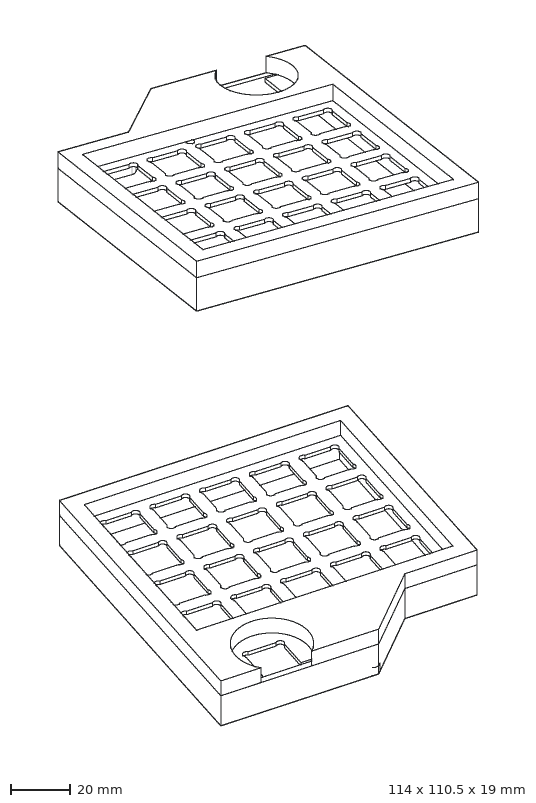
import cadquery as cq
import math

length = 114.0
width = 110.5
height = 19.0
lid_thickness = 6.3
base_height = height - lid_thickness

step_x = 22.8
step_y = 27.7
slant_y = 50.0

key_pitch = 19.0
key_columns = 4
key_rows = 5
grid_x = 68.3
grid_y = 55.2
window_length = 79.2
window_width = 98.0

key_size = 14.0
relief_diameter = 3.0
relief_inset = 1.0

knob_x = 10.1
knob_y = 85.4
knob_diameter = 28.0
notch_width = 14.8
notch_end_x = 17.1

plate_thickness = 1.5
plate_bottom = base_height - plate_thickness
wall = 2.4
plate_gap = 0.9
ledge_inset = 7.3
floor_thickness = 3.9
plate_hole_diameter = 3.0
plate_hole_x = 29.3
plate_hole_y = 48.0

pocket_diameter = 4.9
pocket_depth = 3.3
pocket_skin = 0.02
pocket_inset = pocket_diameter / 2 + pocket_skin
slant_turn = math.atan2(step_x, slant_y - step_y)
pocket_x = pocket_inset
pocket_y = slant_y + pocket_inset * math.tan(slant_turn / 2)


def outline(inset, bottom, depth):
    """Prism over the case outline, moved inwards by the inset."""
    sketch = cq.Workplane("XY", origin=(0, 0, bottom)).polyline([
        (step_x, 0),
        (length, 0),
        (length, width),
        (0, width),
        (0, slant_y),
        (step_x, step_y),
    ]).close()
    if inset > 0:
        sketch = sketch.offset2D(-inset)
    return sketch.extrude(depth)


def block(x_min, x_max, y_min, y_max, bottom, depth):
    """Box between the given sides."""
    return (
        cq.Workplane("XY", origin=(x_min, y_min, bottom))
        .box(x_max - x_min, y_max - y_min, depth, centered=False)
    )


def cylinders(points, diameter, bottom, depth):
    """Upright cylinders centred on the points."""
    return cq.Workplane("XY", origin=(0, 0, bottom)).pushPoints(points).circle(diameter / 2).extrude(depth)


def make_base():
    recess = outline(wall, plate_bottom, plate_thickness)
    cavity = outline(wall, floor_thickness, plate_bottom - floor_thickness).intersect(
        block(0, length - ledge_inset, ledge_inset, width - ledge_inset, floor_thickness, base_height)
    )
    pocket = cylinders([(pocket_x, pocket_y)], pocket_diameter, 0, pocket_depth)
    return outline(0, 0, base_height).cut(recess).cut(cavity).cut(pocket)


def key_opening(x, y):
    """Square cutter with corner reliefs, centred on one key."""
    half = key_size / 2
    reach = half - relief_inset
    corners = [(x + i * reach, y + j * reach) for i in (-1, 1) for j in (-1, 1)]
    square = block(x - half, x + half, y - half, y + half, plate_bottom, plate_thickness)
    return square.union(cylinders(corners, relief_diameter, plate_bottom, plate_thickness))


def knob_notch():
    """Cutter open to the left, with reliefs at its two inner corners."""
    half = notch_width / 2
    relief_x = notch_end_x - relief_inset
    reach = half - relief_inset
    slot = block(0, notch_end_x, knob_y - half, knob_y + half, plate_bottom, plate_thickness)
    corners = [(relief_x, knob_y - reach), (relief_x, knob_y + reach)]
    return slot.union(cylinders(corners, relief_diameter, plate_bottom, plate_thickness))


def make_plate():
    plate = outline(wall + plate_gap, plate_bottom, plate_thickness)
    for column in range(key_columns):
        for row in range(key_rows):
            x = grid_x + (column - (key_columns - 1) / 2) * key_pitch
            y = grid_y + (row - (key_rows - 1) / 2) * key_pitch
            plate = plate.cut(key_opening(x, y))
    screw_hole = cylinders([(plate_hole_x, plate_hole_y)], plate_hole_diameter, plate_bottom, plate_thickness)
    return plate.cut(knob_notch()).cut(screw_hole)


def make_lid():
    window = block(
        grid_x - window_length / 2,
        grid_x + window_length / 2,
        grid_y - window_width / 2,
        grid_y + window_width / 2,
        base_height,
        lid_thickness,
    )
    knob_opening = cylinders([(knob_x, knob_y)], knob_diameter, base_height, lid_thickness)
    return outline(0, base_height, lid_thickness).cut(window).cut(knob_opening)


base = make_base()
plate = make_plate()
lid = make_lid()
result = cq.Compound.makeCompound([base.val(), plate.val(), lid.val()])